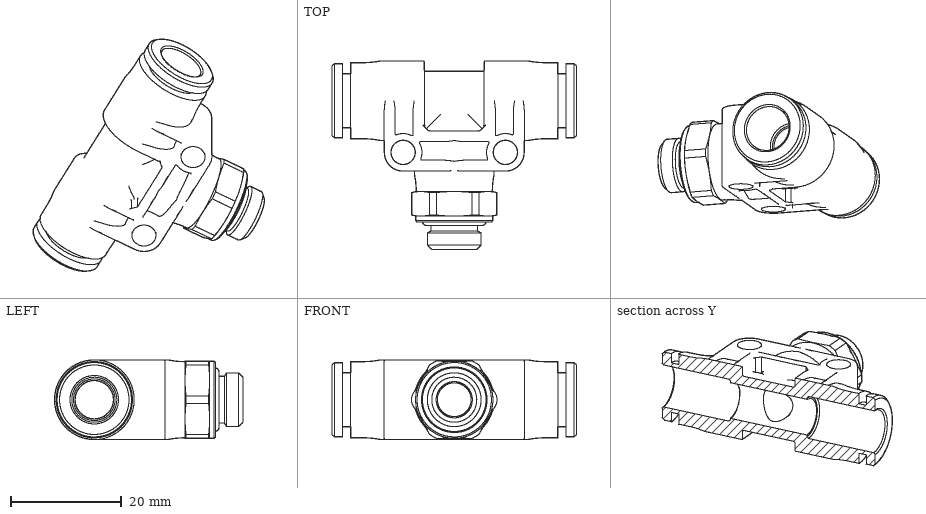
import cadquery as cq
import math

OVERALL_LENGTH = 44.2
HALF_LENGTH = OVERALL_LENGTH / 2
HALF_HEIGHT = 7.2

BARREL_RADIUS = HALF_HEIGHT
BARREL_END = 13.35
TAPER_END = 16.4
RIM_RADIUS = 6.9
RIM_END = 18.7

COLLAR_RADIUS = 6.7
COLLAR_CHAMFER = 0.45
COLLAR_LENGTH = 1.95
COLLAR_NECK_RADIUS = 4.9

TUBE_RADIUS = 4.05
TUBE_CHAMFER = 0.3
TUBE_STOP = 7.95
LEAD_IN_RADIUS = 3.75
FLOW_RADIUS = 3.45

FRAME_HALF_WIDTH = 12.65
FRAME_FRONT = 12.75
FRAME_EDGE_FILLET = 0.2
BOSS_RADIUS = 3.4
HOLE_RADIUS = 2.15
HOLE_X = FRAME_HALF_WIDTH - BOSS_RADIUS
HOLE_Y = BOSS_RADIUS - FRAME_FRONT
HOLE_CENTRES = [(-HOLE_X, HOLE_Y), (HOLE_X, HOLE_Y)]
WEB_RADIUS = BOSS_RADIUS

POCKET_INNER_X = 7.43
POCKET_OUTER_X = 10.7
SLOT_BACK = 7.4
SLOT_FRONT = 10.75
POCKET_CORNER_FILLET = 0.2

RECESS_HALF_WIDTH = 5.4
RECESS_FRONT = 5.5
RECESS_CHAMFER = 0.8
RECESS_EDGE_FILLET = 0.25
WAIST_HALF_WIDTH = 5.35
WAIST_ROUNDING = 3.45
WAIST_ROOT_FILLET = 0.2

HEX_FLATS = 13.95
HEX_CORNER_RADIUS = 7.7
HEX_CHAMFER = 0.18
HEX_END = 20.8
FLANGE_RADIUS = HEX_FLATS / 2
FLANGE_CHAMFER = 0.25
FLANGE_END = 21.92
SPIGOT_NECK_RADIUS = 4.25
THREAD_START = 23.85
THREAD_RADIUS = 4.85
THREAD_RELIEF = 0.35
THREAD_CHAMFER = 0.8
SPIGOT_END = 26.87
SPIGOT_BORE_RADIUS = 3.05
SPIGOT_BORE_CHAMFER = 0.2

RING_TUBE_RADIUS = 0.75
RING_CENTRE_RADIUS = SPIGOT_NECK_RADIUS + RING_TUBE_RADIUS
RING_CENTRE_DISTANCE = 21.8
GROOVE_RADIUS = 5.92
GROOVE_FLOOR = RING_CENTRE_DISTANCE - RING_TUBE_RADIUS

TOLERANCE = 0.005


def turn_about_x(profile):
    """Revolve an (x, radius) profile about the X axis."""
    return profile.close().revolve(360, (0, 0, 0), (1, 0, 0))


def to_spigot(body):
    """Swing a body from the +X arm to the -Y arm."""
    return body.rotate((0, 0, 0), (0, 0, 1), -90)


def on_both_sides(body):
    """A body together with its mirror image across the YZ plane."""
    return body.union(body.mirror("YZ"))


def taper_middle():
    """Middle point of the arc that leaves the rim tangentially and meets the barrel."""
    length = TAPER_END - BARREL_END
    drop = BARREL_RADIUS - RIM_RADIUS
    arc_radius = (length ** 2 + drop ** 2) / (2 * drop)
    half_angle = math.asin(length / arc_radius) / 2
    return (TAPER_END - arc_radius * math.sin(half_angle),
            RIM_RADIUS + arc_radius * (1 - math.cos(half_angle)))


def edges_within(low_corner, high_corner, half_height):
    """Selector for edges wholly inside a plan rectangle, at heights up to half_height."""
    low = (low_corner[0] - TOLERANCE, low_corner[1] - TOLERANCE, -half_height - TOLERANCE)
    high = (high_corner[0] + TOLERANCE, high_corner[1] + TOLERANCE, half_height + TOLERANCE)
    return cq.selectors.BoxSelector(low, high, boundingbox=True)


def tube_port():
    """Solid +X arm: barrel, taper, rim, neck and release collar."""
    collar_start = HALF_LENGTH - COLLAR_LENGTH
    profile = (
        cq.Workplane("XY")
        .moveTo(RECESS_HALF_WIDTH, 0)
        .lineTo(RECESS_HALF_WIDTH, BARREL_RADIUS - RECESS_EDGE_FILLET)
        .radiusArc((RECESS_HALF_WIDTH + RECESS_EDGE_FILLET, BARREL_RADIUS), RECESS_EDGE_FILLET)
        .lineTo(BARREL_END, BARREL_RADIUS)
        .threePointArc(taper_middle(), (TAPER_END, RIM_RADIUS))
        .lineTo(RIM_END, RIM_RADIUS)
        .lineTo(RIM_END, COLLAR_NECK_RADIUS)
        .lineTo(collar_start, COLLAR_NECK_RADIUS)
        .lineTo(collar_start, COLLAR_RADIUS)
        .lineTo(HALF_LENGTH - COLLAR_CHAMFER, COLLAR_RADIUS)
        .lineTo(HALF_LENGTH, COLLAR_RADIUS - COLLAR_CHAMFER)
        .lineTo(HALF_LENGTH, 0)
    )
    return turn_about_x(profile)


def tube_bore():
    """Void of the +X arm, from the tee centre to the mouth."""
    lead_in_depth = TUBE_RADIUS - LEAD_IN_RADIUS
    profile = (
        cq.Workplane("XY")
        .moveTo(0, 0)
        .lineTo(0, FLOW_RADIUS)
        .lineTo(TUBE_STOP, FLOW_RADIUS)
        .lineTo(TUBE_STOP, LEAD_IN_RADIUS)
        .lineTo(TUBE_STOP + lead_in_depth, TUBE_RADIUS)
        .lineTo(HALF_LENGTH - TUBE_CHAMFER, TUBE_RADIUS)
        .lineTo(HALF_LENGTH, TUBE_RADIUS + TUBE_CHAMFER)
        .lineTo(HALF_LENGTH, 0)
    )
    return turn_about_x(profile)


def spigot():
    """Solid -Y arm: barrel, taper, flange with ring groove, neck and threaded end."""
    profile = (
        cq.Workplane("XY")
        .moveTo(RECESS_FRONT, 0)
        .lineTo(RECESS_FRONT, BARREL_RADIUS)
        .lineTo(BARREL_END, BARREL_RADIUS)
        .threePointArc(taper_middle(), (TAPER_END, RIM_RADIUS))
        .lineTo(HEX_END, RIM_RADIUS)
        .lineTo(HEX_END, FLANGE_RADIUS)
        .lineTo(FLANGE_END - FLANGE_CHAMFER, FLANGE_RADIUS)
        .lineTo(FLANGE_END, FLANGE_RADIUS - FLANGE_CHAMFER)
        .lineTo(FLANGE_END, GROOVE_RADIUS)
        .lineTo(GROOVE_FLOOR, GROOVE_RADIUS)
        .lineTo(GROOVE_FLOOR, SPIGOT_NECK_RADIUS)
        .lineTo(THREAD_START - THREAD_RELIEF, SPIGOT_NECK_RADIUS)
        .lineTo(THREAD_START, THREAD_RADIUS)
        .lineTo(SPIGOT_END - THREAD_CHAMFER, THREAD_RADIUS)
        .lineTo(SPIGOT_END, THREAD_RADIUS - THREAD_CHAMFER)
        .lineTo(SPIGOT_END, 0)
    )
    return to_spigot(turn_about_x(profile))


def spigot_bore():
    """Void of the -Y arm, from the tee centre to the threaded end."""
    profile = (
        cq.Workplane("XY")
        .moveTo(0, 0)
        .lineTo(0, SPIGOT_BORE_RADIUS)
        .lineTo(SPIGOT_END - SPIGOT_BORE_CHAMFER, SPIGOT_BORE_RADIUS)
        .lineTo(SPIGOT_END, SPIGOT_BORE_RADIUS + SPIGOT_BORE_CHAMFER)
        .lineTo(SPIGOT_END, 0)
    )
    return to_spigot(turn_about_x(profile))


def hexagon():
    """Wrench hexagon with corners turned down and both ends chamfered."""
    length = HEX_END - TAPER_END
    corner_to_corner = HEX_FLATS / math.cos(math.pi / 6)
    prism = cq.Workplane("XZ").workplane(offset=TAPER_END).polygon(6, corner_to_corner).extrude(length)
    envelope_profile = (
        cq.Workplane("XY")
        .moveTo(TAPER_END, 0)
        .lineTo(TAPER_END, FLANGE_RADIUS)
        .lineTo(TAPER_END + HEX_CHAMFER, HEX_CORNER_RADIUS)
        .lineTo(HEX_END - HEX_CHAMFER, HEX_CORNER_RADIUS)
        .lineTo(HEX_END, FLANGE_RADIUS)
        .lineTo(HEX_END, 0)
    )
    return prism.intersect(to_spigot(turn_about_x(envelope_profile)))


def extrude_full_height(sketch):
    """Extrude a plan outline through the whole thickness of the frame."""
    return sketch.extrude(HALF_HEIGHT, both=True)


def web_rings():
    """Rings of material kept around the mounting holes."""
    return extrude_full_height(cq.Workplane("XY").pushPoints(HOLE_CENTRES).circle(WEB_RADIUS))


def frame_pockets():
    """Openings of the frame: one beside each recess rib and the slot at the front."""
    side = extrude_full_height(
        cq.Workplane("XY")
        .moveTo(POCKET_INNER_X, 0)
        .lineTo(POCKET_OUTER_X, 0)
        .lineTo(POCKET_OUTER_X, HOLE_Y)
        .lineTo(POCKET_INNER_X, HOLE_Y)
        .close()
    )
    slot_centre_y = -(SLOT_BACK + SLOT_FRONT) / 2
    slot = extrude_full_height(
        cq.Workplane("XY")
        .center(0, slot_centre_y)
        .rect(2 * HOLE_X, SLOT_FRONT - SLOT_BACK)
    )
    pockets = on_both_sides(side).union(slot).cut(web_rings())
    return pockets.edges("|Z and (not >Y)").fillet(POCKET_CORNER_FILLET)


def frame():
    """Mounting frame in front of the tube ports, with its pockets open."""
    plate = extrude_full_height(
        cq.Workplane("XY").center(0, -FRAME_FRONT / 2).rect(2 * FRAME_HALF_WIDTH, FRAME_FRONT)
    )
    pocketed = plate.edges("|Z and <Y").fillet(BOSS_RADIUS).cut(frame_pockets())
    rounded = pocketed.faces("|Z").edges("not >Y").fillet(FRAME_EDGE_FILLET)
    recessed = rounded.cut(recess())
    top_and_bottom = recessed.faces("|Z").edges("|Y")
    rib_edges = top_and_bottom.edges(
        edges_within((-RECESS_HALF_WIDTH, -RECESS_FRONT), (RECESS_HALF_WIDTH, 0), HALF_HEIGHT)
    )
    return rib_edges.fillet(RECESS_EDGE_FILLET)


def recess():
    """Void between the barrels, open towards +Y and on both flat sides."""
    depth = BARREL_RADIUS + RECESS_FRONT
    block = extrude_full_height(
        cq.Workplane("XY")
        .center(0, depth / 2 - RECESS_FRONT)
        .rect(2 * RECESS_HALF_WIDTH, depth)
    )
    return block.edges("|Z and <Y").chamfer(RECESS_CHAMFER)


def waist_pipe(plane, start, end):
    """Square pipe with rounded corners along the normal of a plane through the tee centre."""
    width = 2 * WAIST_HALF_WIDTH
    pipe = cq.Workplane(plane).workplane(offset=start).rect(width, width).extrude(end - start)
    along_normal = "|X" if plane == "YZ" else "|Y"
    return pipe.edges(along_normal).fillet(WAIST_ROUNDING)


def waist():
    """Pipe tee that joins the barrels inside the recess."""
    run = waist_pipe("YZ", -RECESS_HALF_WIDTH, RECESS_HALF_WIDTH)
    branch = waist_pipe("XZ", 0, RECESS_FRONT)
    return run.union(branch)


def root_edges():
    """Selector for the edges where the waist meets the walls of the recess."""
    side = RECESS_HALF_WIDTH
    corner = RECESS_HALF_WIDTH - RECESS_CHAMFER
    back = WAIST_HALF_WIDTH
    front = -RECESS_FRONT
    chamfer_back = front + RECESS_CHAMFER
    height = WAIST_HALF_WIDTH
    return (
        edges_within((side, chamfer_back), (side, back), height)
        + edges_within((-side, chamfer_back), (-side, back), height)
        + edges_within((corner, front), (side, chamfer_back), height)
        + edges_within((-side, front), (-corner, chamfer_back), height)
        + edges_within((-corner, front), (corner, front), height)
    )


def mounting_holes():
    """Two through holes of the frame."""
    return extrude_full_height(cq.Workplane("XY").pushPoints(HOLE_CENTRES).circle(HOLE_RADIUS))


def make_housing():
    """Tee housing with two tube ports, a mounting frame and a threaded spigot."""
    tee = frame().union(on_both_sides(tube_port())).union(waist())
    tee = tee.edges(root_edges()).fillet(WAIST_ROOT_FILLET)
    solid = tee.union(spigot()).union(hexagon())
    return solid.cut(mounting_holes()).cut(on_both_sides(tube_bore())).cut(spigot_bore())


def make_sealing_ring():
    """O-ring around the spigot neck, resting on the groove floor."""
    centre = cq.Vector(0, -RING_CENTRE_DISTANCE, 0)
    return cq.Solid.makeTorus(RING_CENTRE_RADIUS, RING_TUBE_RADIUS, centre, cq.Vector(0, 1, 0))


housing = make_housing()
sealing_ring = make_sealing_ring()
result = cq.Compound.makeCompound([housing.solids().val(), sealing_ring])